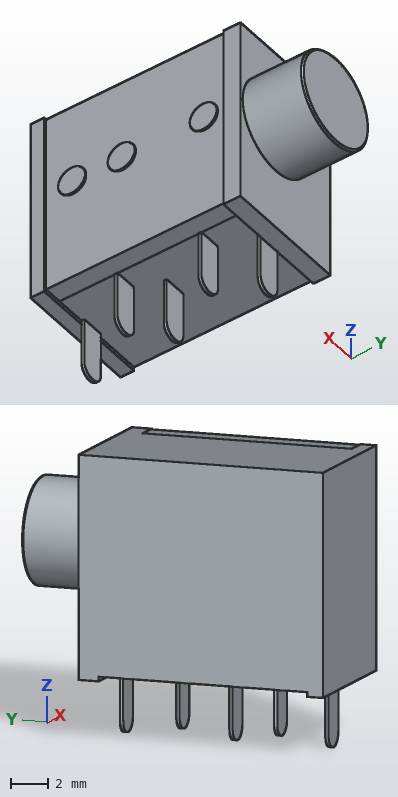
import cadquery as cq


housing_width = 8.1
housing_height = 12.31
overall_length = 18.0
sleeve_length = 4.0
housing_length = overall_length - sleeve_length

sleeve_end_foot = 1.13
rear_foot = 0.9
channel_depth = 0.25
channel_length = housing_length - sleeve_end_foot - rear_foot
channel_middle_y = -sleeve_end_foot - channel_length / 2

cover_thickness = 1.2
cover_inset = 0.18
pocket_depth = cover_thickness + cover_inset
cover_height = housing_height - channel_depth

boss_diameter = 1.8
boss_height = 0.1
boss_distances = [2.54, 8.01, 11.32]

sleeve_diameter = 6.0
sleeve_chamfer = 0.1
sleeve_axis_x = 4.9
sleeve_axis_z = 7.0

pin_width = 1.5
pin_thickness = 0.2
pin_drop = 3.5
pin_row_a = 4.0
pin_row_b = 6.0
first_pin_distance = sleeve_end_foot + pin_thickness / 2
last_pin_distance = housing_length - rear_foot - pin_thickness / 2
pin_places = [
    (pin_row_a, first_pin_distance),
    (pin_row_b, 3.7),
    (pin_row_a, 7.5),
    (pin_row_b, 9.3),
    (pin_row_a, last_pin_distance),
]


def make_housing():
    """Block with an underside channel and a side pocket for the cover."""
    block = cq.Workplane("XY").box(
        housing_width, housing_length, housing_height, centered=False
    ).translate((0, -housing_length, 0))
    channel = cq.Workplane("XY").box(
        housing_width, channel_length, channel_depth, centered=(False, True, False)
    ).translate((0, channel_middle_y, 0))
    pocket = cq.Workplane("XY").box(
        pocket_depth, channel_length, housing_height, centered=(False, True, False)
    ).translate((housing_width - pocket_depth, channel_middle_y, 0))
    return block.cut(channel).cut(pocket)


def make_cover():
    """Plate flush with the housing top, with round bosses on its outer face."""
    outer_face_x = housing_width - cover_inset
    plate = cq.Workplane("XY").box(
        cover_thickness, channel_length, cover_height, centered=(False, True, False)
    ).translate((outer_face_x - cover_thickness, channel_middle_y, channel_depth))
    bosses = (
        cq.Workplane("YZ", origin=(outer_face_x, 0, sleeve_axis_z))
        .pushPoints([(-distance, 0) for distance in boss_distances])
        .circle(boss_diameter / 2)
        .extrude(boss_height)
    )
    return plate.union(bosses)


def make_sleeve():
    """Round sleeve standing on the housing face, chamfered at its free end."""
    return (
        cq.Workplane("XZ", origin=(sleeve_axis_x, 0, sleeve_axis_z))
        .circle(sleeve_diameter / 2)
        .extrude(-sleeve_length)
        .faces(">Y")
        .chamfer(sleeve_chamfer)
    )


def make_pin(middle_x, distance):
    """Flat pin hanging from the channel floor, with a full-round tip."""
    tip_radius = pin_width / 2
    tip_centre_z = tip_radius - pin_drop
    return (
        cq.Workplane("XZ", origin=(middle_x, -distance, 0))
        .moveTo(-tip_radius, channel_depth)
        .lineTo(-tip_radius, tip_centre_z)
        .threePointArc((0, -pin_drop), (tip_radius, tip_centre_z))
        .lineTo(tip_radius, channel_depth)
        .close()
        .extrude(pin_thickness / 2, both=True)
    )


housing = make_housing()
cover = make_cover()
sleeve = make_sleeve()
pins = [make_pin(middle_x, distance) for middle_x, distance in pin_places]

result = cq.Compound.makeCompound(
    [housing.val(), cover.val(), sleeve.val(), *[pin.val() for pin in pins]]
)